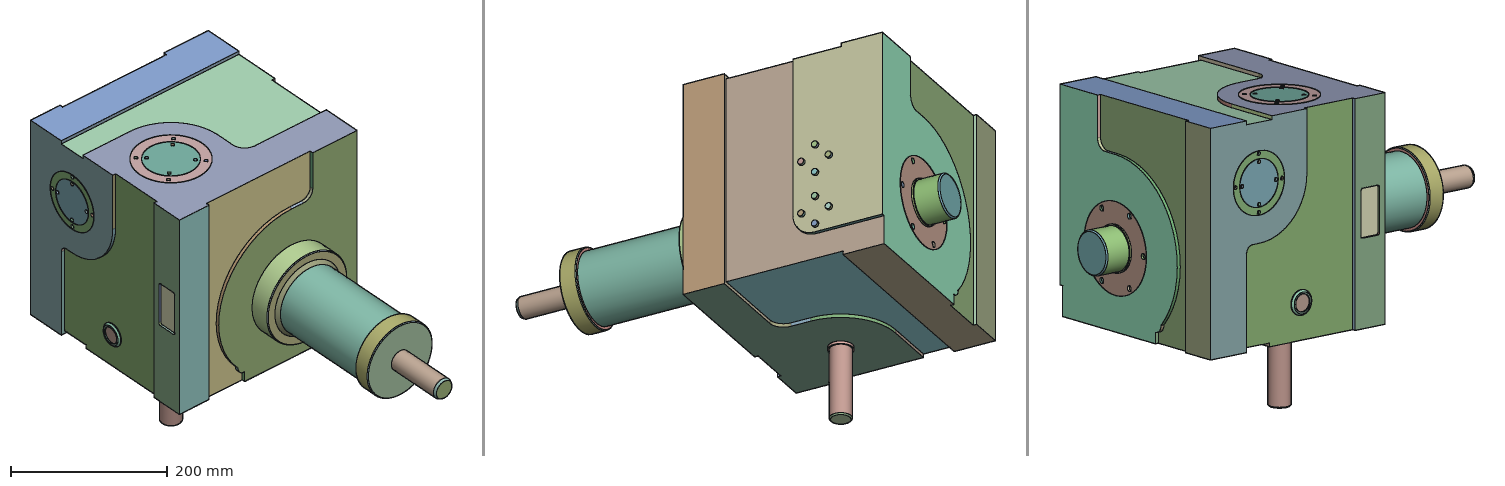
import cadquery as cq
import math


LENGTH = 290.0
FRONT_Y = -190.0
BACK_Y = 110.0
TOP_Z = 195.0
BOTTOM_Z = -110.0

RECESS_DEPTH = 5.0
PAD_MARGIN = 60.0
STRIP_WIDTH = 50.0

VERTICAL_X = 181.0
VERTICAL_Y = -110.0
SMALL_PAD_RADIUS = 79.5

COVER_X = 80.5
COVER_Z = 110.0

OUTPUT_PAD_RADIUS = 124.0
OUTPUT_PAD_BACK_Y = 35.0
OUTPUT_PAD_FOOT_Y = -80.0
OUTPUT_TOE_Z = -84.0
OUTPUT_TOE_RADIUS = 11.0

OUTPUT_CORNER = 15.0
LEVEL_CORNER = 20.0
FRONT_CORNER = 10.0

BACK_PAD_X = 130.0
BACK_PAD_Z = -69.5
BACK_PAD_CORNER = 31.0
BACK_BOLT_CENTRES = ((97.0, 36.0), (97.0, -39.0))
BACK_BOLT_CIRCLE = 20.0
BACK_BOLT_RADIUS = 4.5
BACK_BOLT_HEIGHT = 4.0

RING_DEPTH = 0.5
SCREW_DEPTH = 4.0
SCREW_RADIUS = 2.5
TOP_RING = (37.5, 52.5)
TOP_SCREW_CIRCLES = (31.0, 45.0)
FRONT_RING = (32.0, 42.5)
FRONT_SCREW_CIRCLES = (28.0, 39.0)
OUTPUT_COVER_RADIUS = 62.0
OUTPUT_SCREW_CIRCLE = 55.0
OUTPUT_SCREW_RADIUS = 4.0

SHAFT_CHAMFER = 2.0
STUB_END_X = -39.0
STUB_RADIUS = 30.0
STUB_COLLAR_RADIUS = 32.0
STUB_COLLAR_LENGTH = 2.0
FLANGE_RADIUS = 67.5
FLANGE_LENGTH = 30.0
TUBE_RADIUS = 50.0
TUBE_FLARE = 5.0
END_FLANGE_X = 476.0
END_FLANGE_RADIUS = 55.0
TUBE_END_X = 500.5
FLANGE_CHAMFER = 1.0
DRIVE_RADIUS = 15.0
DRIVE_END_X = 586.0
DRIVE_CHAMFER = 4.0

LOWER_SHAFT_RADIUS = 15.0
LOWER_SHAFT_END_Z = -215.0
SEAL_RADIUS = 17.0
SEAL_HEIGHT = 4.0
PLUG_X = 154.5
PLUG_Z = -60.0
PLUG_CHAMFER = 2.5
PLUG_BORE_RADIUS = 12.0
PLUG_BORE_DEPTH = 2.0

PLATE_LEFT_X = 250.0
PLATE_WIDTH = 30.5
PLATE_BOTTOM_Z = 9.5
PLATE_HEIGHT = 65.5
PLATE_DEPTH = 3.0
PLATE_CORNER = 3.0


LEFT = cq.Workplane("YZ").plane
RIGHT = cq.Workplane("YZ", origin=(LENGTH, 0, 0)).plane
FRONT = cq.Workplane("XZ", origin=(0, FRONT_Y, 0)).plane
BACK = cq.Workplane("XZ", origin=(0, BACK_Y, 0)).plane
TOP = cq.Workplane("XY", origin=(0, 0, TOP_Z)).plane
BOTTOM = cq.Workplane("XY", origin=(0, 0, BOTTOM_Z)).plane


def slab(plane, low, high, depth):
    sketch = cq.Workplane(plane).moveTo(*low)
    return sketch.rect(high[0] - low[0], high[1] - low[1], centered=False).extrude(depth, both=True)


def discs(plane, centres, radius, depth):
    return cq.Workplane(plane).pushPoints(centres).circle(radius).extrude(depth, both=True)


def points_around(centre, radius, count, start=0.0):
    angles = [math.radians(start + 360 * i / count) for i in range(count)]
    return [(centre[0] + radius * math.cos(a), centre[1] + radius * math.sin(a)) for a in angles]


def round_corner(tool, plane, corner, radius):
    point = plane.toWorldCoords(corner).toTuple()
    return tool.edges(cq.selectors.NearestToPointSelector(point)).fillet(radius)


def face_recess(plane, area, pad_centre, pad_radius, pad_blocks, corner, corner_radius):
    """Recess over an area, less a raised pad made of a disc and blocks, with one rounded corner."""
    recess = slab(plane, *area, RECESS_DEPTH)
    recess = recess.cut(discs(plane, [pad_centre], pad_radius, RECESS_DEPTH))
    for low, high in pad_blocks:
        recess = recess.cut(slab(plane, low, high, RECESS_DEPTH))
    return round_corner(recess, plane, corner, corner_radius)


def side_recess(plane):
    """Recess of the left and right faces, around the output pad."""
    recess = face_recess(
        plane,
        ((FRONT_Y + STRIP_WIDTH, BOTTOM_Z), (OUTPUT_PAD_BACK_Y, TOP_Z)),
        (0, 0),
        OUTPUT_PAD_RADIUS,
        [
            ((OUTPUT_PAD_FOOT_Y, BOTTOM_Z), (OUTPUT_PAD_BACK_Y, 0)),
            ((0, 0), (OUTPUT_PAD_BACK_Y, OUTPUT_PAD_RADIUS)),
        ],
        (OUTPUT_PAD_BACK_Y, OUTPUT_PAD_RADIUS),
        OUTPUT_CORNER,
    )
    return recess.cut(discs(plane, [(OUTPUT_PAD_FOOT_Y, OUTPUT_TOE_Z)], OUTPUT_TOE_RADIUS, RECESS_DEPTH))


def level_recess(plane):
    """Recess of the top and bottom faces, around the vertical axis pad."""
    right_x = LENGTH - PAD_MARGIN
    pad_back_y = VERTICAL_Y + SMALL_PAD_RADIUS
    return face_recess(
        plane,
        ((PAD_MARGIN, FRONT_Y), (right_x, BACK_Y)),
        (VERTICAL_X, VERTICAL_Y),
        SMALL_PAD_RADIUS,
        [
            ((VERTICAL_X - SMALL_PAD_RADIUS, FRONT_Y), (right_x, VERTICAL_Y)),
            ((VERTICAL_X, VERTICAL_Y), (right_x, pad_back_y)),
        ],
        (right_x, pad_back_y),
        LEVEL_CORNER,
    )


def front_recess():
    pad_bottom_z = COVER_Z - SMALL_PAD_RADIUS
    return face_recess(
        FRONT,
        ((PAD_MARGIN, BOTTOM_Z), (LENGTH - STRIP_WIDTH, TOP_Z)),
        (COVER_X, COVER_Z),
        SMALL_PAD_RADIUS,
        [
            ((PAD_MARGIN, COVER_Z), (COVER_X + SMALL_PAD_RADIUS, TOP_Z)),
            ((PAD_MARGIN, pad_bottom_z), (COVER_X, COVER_Z)),
        ],
        (PAD_MARGIN, pad_bottom_z),
        FRONT_CORNER,
    )


def back_recess():
    """L-shaped recess beside and below the back pad."""
    area = slab(BACK, (0, BOTTOM_Z), (LENGTH - PAD_MARGIN, TOP_Z), RECESS_DEPTH)
    pad = slab(BACK, (0, BACK_PAD_Z), (BACK_PAD_X, TOP_Z), RECESS_DEPTH)
    return area.cut(round_corner(pad, BACK, (BACK_PAD_X, BACK_PAD_Z), BACK_PAD_CORNER))


def cover_marks(plane, centre, ring_radii, screw_circles, start):
    """Ring groove and two circles of four screw recesses, as one cutting tool."""
    inner, outer = ring_radii
    tool = discs(plane, [centre], outer, RING_DEPTH).cut(discs(plane, [centre], inner, RING_DEPTH))
    for radius in screw_circles:
        tool = tool.union(discs(plane, points_around(centre, radius, 4, start), SCREW_RADIUS, SCREW_DEPTH))
    return tool


def output_cover_marks():
    """Sunk ring and screw recesses around the stub shaft."""
    ring = discs(LEFT, [(0, 0)], OUTPUT_COVER_RADIUS, RING_DEPTH)
    screws = points_around((0, 0), OUTPUT_SCREW_CIRCLE, 6)
    return ring.union(discs(LEFT, screws, OUTPUT_SCREW_RADIUS, SCREW_DEPTH))


def name_plate_pocket():
    low = (PLATE_LEFT_X, PLATE_BOTTOM_Z)
    high = (PLATE_LEFT_X + PLATE_WIDTH, PLATE_BOTTOM_Z + PLATE_HEIGHT)
    return slab(FRONT, low, high, PLATE_DEPTH).edges("|Y").fillet(PLATE_CORNER)


def turned_along_x(start_x, end_x, radius):
    return cq.Workplane("YZ", origin=(start_x, 0, 0)).circle(radius).extrude(end_x - start_x)


def left_shaft():
    inside_x = RECESS_DEPTH
    shaft = turned_along_x(STUB_END_X, inside_x, STUB_RADIUS).faces("<X").chamfer(SHAFT_CHAMFER)
    return shaft.union(turned_along_x(-STUB_COLLAR_LENGTH, inside_x, STUB_COLLAR_RADIUS))


def right_shaft():
    """Mounting flange, flared tube, end flange and drive shaft."""
    flange_end_x = LENGTH + FLANGE_LENGTH
    flange = turned_along_x(LENGTH - RECESS_DEPTH, flange_end_x, FLANGE_RADIUS)
    flange = flange.faces(">X").chamfer(FLANGE_CHAMFER)
    tube = turned_along_x(flange_end_x, END_FLANGE_X, TUBE_RADIUS)
    flare_sketch = cq.Workplane("YZ", origin=(flange_end_x, 0, 0)).circle(TUBE_RADIUS + TUBE_FLARE)
    flare = flare_sketch.workplane(offset=TUBE_FLARE).circle(TUBE_RADIUS).loft()
    end_flange = turned_along_x(END_FLANGE_X, TUBE_END_X, END_FLANGE_RADIUS)
    end_flange = end_flange.faces("<X or >X").chamfer(FLANGE_CHAMFER)
    drive = turned_along_x(TUBE_END_X, DRIVE_END_X, DRIVE_RADIUS)
    drive = drive.faces(">X").chamfer(DRIVE_CHAMFER, SHAFT_CHAMFER)
    return flange.union(tube).union(flare).union(end_flange).union(drive)


def lower_shaft():
    base = cq.Workplane(BOTTOM).center(VERTICAL_X, VERTICAL_Y)
    shaft = base.circle(LOWER_SHAFT_RADIUS).extrude(LOWER_SHAFT_END_Z - BOTTOM_Z)
    shaft = shaft.faces("<Z").chamfer(SHAFT_CHAMFER)
    return shaft.union(base.circle(SEAL_RADIUS).extrude(-SEAL_HEIGHT))


def oil_plug():
    """Chamfered plug standing on the recessed part of the front face."""
    floor = cq.Workplane("XZ", origin=(PLUG_X, FRONT_Y + RECESS_DEPTH, PLUG_Z))
    plug = floor.circle(SEAL_RADIUS).extrude(SEAL_HEIGHT).faces("<Y").chamfer(PLUG_CHAMFER)
    return plug.faces("<Y").workplane().hole(2 * PLUG_BORE_RADIUS, PLUG_BORE_DEPTH)


def back_bolts():
    spots = [p for centre in BACK_BOLT_CENTRES for p in points_around(centre, BACK_BOLT_CIRCLE, 4)]
    return cq.Workplane(BACK).pushPoints(spots).circle(BACK_BOLT_RADIUS).extrude(-BACK_BOLT_HEIGHT)


housing = cq.Workplane("XY", origin=(0, FRONT_Y, BOTTOM_Z)).box(
    LENGTH, BACK_Y - FRONT_Y, TOP_Z - BOTTOM_Z, centered=False
)
tools = [side_recess(LEFT), side_recess(RIGHT), level_recess(TOP), level_recess(BOTTOM)]
tools += [front_recess(), back_recess(), output_cover_marks(), name_plate_pocket()]
tools.append(cover_marks(TOP, (VERTICAL_X, VERTICAL_Y), TOP_RING, TOP_SCREW_CIRCLES, 45))
tools.append(cover_marks(FRONT, (COVER_X, COVER_Z), FRONT_RING, FRONT_SCREW_CIRCLES, 0))
for tool in tools:
    housing = housing.cut(tool)

result = housing
for addition in (left_shaft(), right_shaft(), lower_shaft(), oil_plug(), back_bolts()):
    result = result.union(addition)